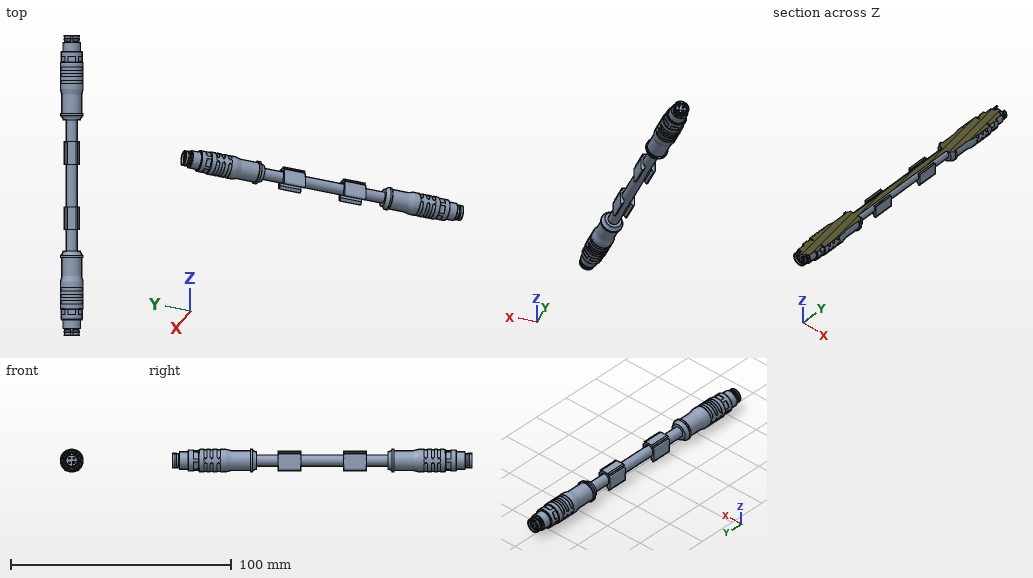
import cadquery as cq
import math

TOTAL_LENGTH = 135.8
CABLE_DIA = 5.2

BORE_DIA = 5.8
GROOVE_DIA = 6.5
LIP_DIA = 6.9
NOSE_DIA = 8.0
BODY_DIA = 9.1
RING_DIA = 9.6
COLLAR_NOSE_DIA = 10.0
COLLAR_DIA = 10.3
GRIP_GROOVE_DIA = 9.9

BEAD_START = 1.2
BEAD_END = 1.9
NOSE_START = 3.1
NOSE_END = 7.0
RING_START = 7.3
FLATS_START = 9.5
RING_END = 11.8
COLLAR_START = 12.1
COLLAR_TAPER_END = 12.6
COLLAR_END = 24.3
BODY_START = 26.7
FLANGE_START = 35.3
FLANGE_END = 36.2
CONNECTOR_LENGTH = 38.1

FLAT_COUNT = 6
FLATS_ACROSS = 9.0

GRIP_GROOVES = ((14.3, 15.7), (17.1, 18.5), (20.2, 21.7))
GROOVE_TIP_Z = 0.8
GROOVE_SHOULDER_Z = 1.6
RIB_WIDTH = 1.2

SOCKET_DEPTH = 2.7
INSERT_DIA = 5.2
INSERT_FACE_DEPTH = 1.2
PIN_DIA = 0.8
PIN_OFFSET = 1.02
PIN_LENGTH = 0.8
PIN_CHAMFER = 0.2
STEP_DEPTH = 0.4
STEP_INSET = 0.4
KEY_WIDTH = 1.1
KEY_HEIGHT = 0.7

CLIP_LENGTH = 10.3
CLIP_OFFSET = 14.8
CLIP_TOP = 4.3
CLIP_BOTTOM = -4.6
CLIP_HALF_WIDTH = 3.4
CLIP_MOUTH_HALF_WIDTH = 1.6
PLATE_FLAT_HALF_WIDTH = 1.9
PLATE_HALF_WIDTH = 2.7
PLATE_EDGE_Z = 4.1
NOTCH_HALF_WIDTH = 2.3
NOTCH_Z = 3.5
SHOULDER_TOP_Z = 3.0
SHOULDER_END_Z = 1.9
LEG_ROUND_WIDTH = 0.8
LEG_ROUND_HEIGHT = 1.2
CAVITY_HALF_WIDTH = 2.5
CAVITY_TOP = 3.4

MATING_Y = -TOTAL_LENGTH / 2


def cylinder(diameter, start, end):
    """Cylinder on the Y axis between two Y positions."""
    plane = cq.Plane(origin=(0, start, 0), xDir=(1, 0, 0), normal=(0, 1, 0))
    return cq.Workplane(plane).circle(diameter / 2).extrude(end - start)


def box(x_range, y_range, z_range):
    """Axis-aligned box from its three (low, high) ranges."""
    sizes = [high - low for low, high in (x_range, y_range, z_range)]
    corner = (x_range[0], y_range[0], z_range[0])
    return cq.Workplane("XY").box(*sizes, centered=False).translate(corner)


def flare_middle(low, high):
    """Middle of an arc that leaves `low` parallel to Y and swells outward to `high`."""
    rise = high[0] - low[0]
    run = high[1] - low[1]
    radius = (rise ** 2 + run ** 2) / (2 * rise)
    half_turn = math.asin(run / radius) / 2
    return (low[0] + radius * (1 - math.cos(half_turn)), low[1] + radius * math.sin(half_turn))


def turned_body():
    """Stepped connector body, revolved about the Y axis."""
    steps = (
        (LIP_DIA, 0),
        (GROOVE_DIA, BEAD_START),
        (LIP_DIA, BEAD_START),
        (LIP_DIA, BEAD_END),
        (GROOVE_DIA, BEAD_END),
        (GROOVE_DIA, NOSE_START),
        (NOSE_DIA, NOSE_START),
        (NOSE_DIA, NOSE_END),
        (BODY_DIA, NOSE_END),
        (RING_DIA, RING_START),
        (RING_DIA, RING_END),
        (GROOVE_DIA, RING_END),
        (GROOVE_DIA, COLLAR_START),
        (COLLAR_NOSE_DIA, COLLAR_START),
        (COLLAR_DIA, COLLAR_TAPER_END),
        (COLLAR_DIA, COLLAR_END),
        (BODY_DIA, BODY_START),
        (BODY_DIA, FLANGE_START),
        (COLLAR_DIA, FLANGE_START),
        (COLLAR_DIA, FLANGE_END),
    )
    flange_end = (COLLAR_DIA / 2, MATING_Y + FLANGE_END)
    tail_end = (NOSE_DIA / 2, MATING_Y + CONNECTOR_LENGTH)
    outline = [(0, MATING_Y)]
    outline += [(diameter / 2, MATING_Y + station) for diameter, station in steps]
    return (
        cq.Workplane("XY")
        .polyline(outline)
        .threePointArc(flare_middle(tail_end, flange_end), tail_end)
        .lineTo(0, MATING_Y + CONNECTOR_LENGTH)
        .close()
        .revolve(360, (0, 0, 0), (0, 1, 0))
    )


def cut_wrench_flats(body):
    start = MATING_Y + FLATS_START
    end = MATING_Y + RING_END
    slab = box((-RING_DIA, RING_DIA), (start, end), (FLATS_ACROSS / 2, RING_DIA))
    for index in range(FLAT_COUNT):
        body = body.cut(slab.rotate((0, 0, 0), (0, 1, 0), index * 360 / FLAT_COUNT))
    return body


def cut_grip_grooves(body):
    """Shallow ring grooves that end in a point beside the two side ribs."""
    reach = COLLAR_DIA
    for groove_start, groove_end in GRIP_GROOVES:
        start = MATING_Y + groove_start
        end = MATING_Y + groove_end
        ring = cylinder(COLLAR_DIA, start, end).cut(cylinder(GRIP_GROOVE_DIA, start, end))
        for side in (1, -1):
            outline = [
                ((start + end) / 2, side * GROOVE_TIP_Z),
                (end, side * GROOVE_SHOULDER_Z),
                (end, side * reach),
                (start, side * reach),
                (start, side * GROOVE_SHOULDER_Z),
            ]
            window = cq.Workplane("YZ").polyline(outline).close().extrude(reach, both=True)
            body = body.cut(ring.intersect(window))
    return body


def cut_rib_flats(body):
    """Narrow flat along each side rib, between the outer ends of the grooves."""
    start = MATING_Y + GRIP_GROOVES[0][0]
    end = MATING_Y + GRIP_GROOVES[-1][1]
    half = RIB_WIDTH / 2
    flat_x = math.sqrt((COLLAR_DIA / 2) ** 2 - half ** 2)
    for x_range in ((-COLLAR_DIA, -flat_x), (flat_x, COLLAR_DIA)):
        body = body.cut(box(x_range, (start, end), (-half, half)))
    return body


def add_mating_face(body):
    """Socket holding a round insert with contact pins, a lowered quarter and a key at the top."""
    floor = MATING_Y + SOCKET_DEPTH
    face = MATING_Y + INSERT_FACE_DEPTH
    step = face + STEP_DEPTH
    quarter = box((STEP_INSET, BORE_DIA), (face, step), (-BORE_DIA, -STEP_INSET))
    insert = cylinder(INSERT_DIA, face, floor).cut(quarter)
    body = body.cut(cylinder(BORE_DIA, MATING_Y, floor)).union(insert)

    key_z = (BORE_DIA / 2 - KEY_HEIGHT, (BORE_DIA + GROOVE_DIA) / 4)
    body = body.union(box((-KEY_WIDTH / 2, KEY_WIDTH / 2), (MATING_Y, floor), key_z))

    pin = cylinder(PIN_DIA, face - PIN_LENGTH, step).faces("<Y").chamfer(PIN_CHAMFER)
    for x in (-PIN_OFFSET, PIN_OFFSET):
        for z in (-PIN_OFFSET, PIN_OFFSET):
            body = body.union(pin.translate((x, 0, z)))
    return body


def connector():
    body = cut_wrench_flats(turned_body())
    body = cut_rib_flats(cut_grip_grooves(body))
    return add_mating_face(body)


def round_corner(center, radii, angle):
    """Point on an axis-aligned ellipse quarter, used as an arc's middle point."""
    turn = math.radians(angle)
    return (center[0] + radii[0] * math.cos(turn), center[1] + radii[1] * math.sin(turn))


def clip(y_center):
    """Marker clip: a top plate on rounded shoulders, arched over the cable, with two legs."""
    leg_end_x = CLIP_HALF_WIDTH - LEG_ROUND_WIDTH
    leg_end_z = CLIP_BOTTOM + LEG_ROUND_HEIGHT
    shoulder_radii = (CLIP_HALF_WIDTH - PLATE_HALF_WIDTH, SHOULDER_TOP_Z - SHOULDER_END_Z)
    shoulder_middle = round_corner((PLATE_HALF_WIDTH, SHOULDER_END_Z), shoulder_radii, 45)
    leg_middle = round_corner((leg_end_x, leg_end_z), (LEG_ROUND_WIDTH, LEG_ROUND_HEIGHT), -45)
    cavity_center = (0, CAVITY_TOP - CAVITY_HALF_WIDTH)
    cavity_middle = round_corner(cavity_center, (CAVITY_HALF_WIDTH, CAVITY_HALF_WIDTH), 45)
    plane = cq.Plane(origin=(0, y_center - CLIP_LENGTH / 2, 0), xDir=(-1, 0, 0), normal=(0, 1, 0))
    half = (
        cq.Workplane(plane)
        .moveTo(0, CLIP_TOP)
        .lineTo(PLATE_FLAT_HALF_WIDTH, CLIP_TOP)
        .lineTo(PLATE_HALF_WIDTH, PLATE_EDGE_Z)
        .lineTo(NOTCH_HALF_WIDTH, NOTCH_Z)
        .lineTo(PLATE_HALF_WIDTH, SHOULDER_TOP_Z)
        .threePointArc(shoulder_middle, (CLIP_HALF_WIDTH, SHOULDER_END_Z))
        .lineTo(CLIP_HALF_WIDTH, leg_end_z)
        .threePointArc(leg_middle, (leg_end_x, CLIP_BOTTOM))
        .lineTo(CLIP_MOUTH_HALF_WIDTH, leg_end_z)
        .lineTo(CLIP_MOUTH_HALF_WIDTH, 0)
        .lineTo(CAVITY_HALF_WIDTH, 0)
        .lineTo(CAVITY_HALF_WIDTH, CAVITY_TOP - CAVITY_HALF_WIDTH)
        .threePointArc(cavity_middle, (0, CAVITY_TOP))
        .close()
        .extrude(CLIP_LENGTH)
    )
    return half.union(half.mirror("YZ"))


cable_half_length = TOTAL_LENGTH / 2 - CONNECTOR_LENGTH
result = cylinder(CABLE_DIA, -cable_half_length, cable_half_length)
near_connector = connector()
result = result.union(near_connector)
result = result.union(near_connector.rotate((0, 0, 0), (0, 0, 1), 180))
for clip_y in (-CLIP_OFFSET, CLIP_OFFSET):
    result = result.union(clip(clip_y))